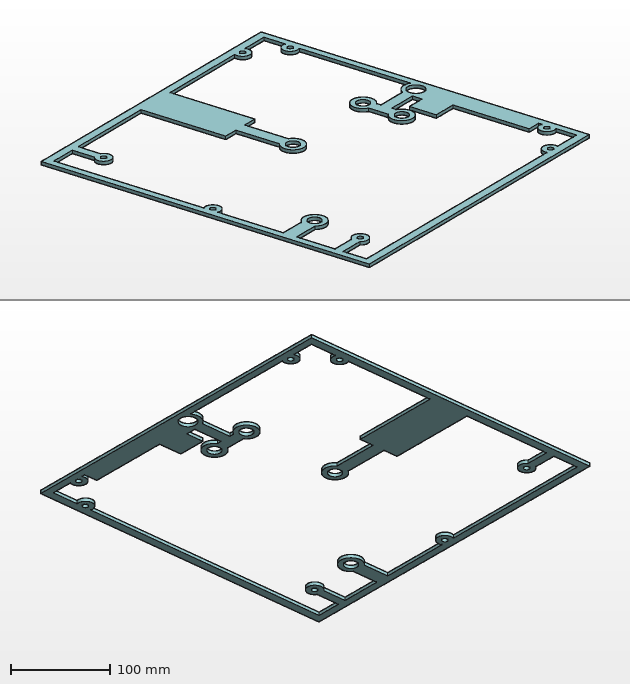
import cadquery as cq

length = 410.0
width = 377.2
thickness = 4.0
side_rail = 10.0
end_rail = 8.5
left_edge = -length / 2
bottom_edge = -width / 2
top_edge = width / 2

pattern_x = 0.6

screw_hole = 6.5
screw_eye = 19.0
screw_column_x = 160.5
screw_side_x = 192.5
screw_side_y = 138.5
screw_end_y = 176.5
screw_low_y = -143.5
screw_arm = 10.3

ring_hole = 15.0
ring_eye = 27.5
ring_pair_x = 24.0
ring_pair_y = 114.5
corner_ring_x = 99.5
corner_ring_y = -137.8
corner_arm = 17.0

large_hole = 20.0
large_eye = 30.5
large_y = 172.0
tee_arm = 13.5

left_plate_end_x = -89.5
left_plate_width = 50.0
left_plate_y = -5.7
left_plate_arm = 15.0

strip_end_x = 148.0
strip_bottom_y = 163.5
tab_start_x = 19.3
tab_end_x = 53.0
tab_bottom_y = 135.0
web_bottom_y = 156.5


def plate(x_min, x_max, y_min, y_max):
    """Rectangular plate of full thickness between the given limits."""
    size_x = x_max - x_min
    size_y = y_max - y_min
    block = cq.Workplane("XY").box(size_x, size_y, thickness, centered=False)
    return block.translate((x_min, y_min, 0))


def arm_along_x(x_min, x_max, y, arm_width):
    return plate(x_min, x_max, y - arm_width / 2, y + arm_width / 2)


def arm_along_y(x, y_min, y_max, arm_width):
    return plate(x - arm_width / 2, x + arm_width / 2, y_min, y_max)


def discs(centres, diameter):
    return cq.Workplane("XY").pushPoints(centres).circle(diameter / 2).extrude(thickness)


def frame():
    opening = (length - 2 * side_rail, width - 2 * end_rail)
    return cq.Workplane("XY").rect(length, width).rect(*opening).extrude(thickness)


screw_centres = [(pattern_x, -screw_end_y)]
for side in (-1, 1):
    screw_centres.append((pattern_x + side * screw_column_x, screw_end_y))
    screw_centres.append((pattern_x + side * screw_column_x, screw_low_y))
    screw_centres.append((pattern_x + side * screw_side_x, screw_side_y))

ring_centres = [
    (pattern_x - ring_pair_x, ring_pair_y),
    (pattern_x + ring_pair_x, ring_pair_y),
    (pattern_x - ring_pair_x, left_plate_y),
    (corner_ring_x, corner_ring_y),
]

eyes = [
    (screw_centres, screw_eye, screw_hole),
    (ring_centres, ring_eye, ring_hole),
    ([(pattern_x, large_y)], large_eye, large_hole),
]

left_plate_half = left_plate_width / 2
plates = [
    plate(left_edge, left_plate_end_x, left_plate_y - left_plate_half, left_plate_y + left_plate_half),
    plate(pattern_x, strip_end_x, strip_bottom_y, top_edge),
    plate(tab_start_x, tab_end_x, tab_bottom_y, top_edge),
    plate(pattern_x, tab_start_x, web_bottom_y, top_edge),
]

arms = [
    arm_along_x(left_plate_end_x, pattern_x - ring_pair_x, left_plate_y, left_plate_arm),
    arm_along_x(left_edge, pattern_x - screw_column_x, screw_low_y, screw_arm),
    arm_along_y(pattern_x + screw_column_x, bottom_edge, screw_low_y, screw_arm),
    arm_along_y(corner_ring_x, bottom_edge, corner_ring_y, corner_arm),
    arm_along_y(pattern_x, ring_pair_y, large_y, tee_arm),
    arm_along_x(pattern_x - ring_pair_x, pattern_x + ring_pair_x, ring_pair_y, tee_arm),
]

result = frame()
for piece in plates + arms:
    result = result.union(piece)
for centres, eye_diameter, _ in eyes:
    result = result.union(discs(centres, eye_diameter))
for centres, _, hole_diameter in eyes:
    result = result.cut(discs(centres, hole_diameter))
result = result.clean()